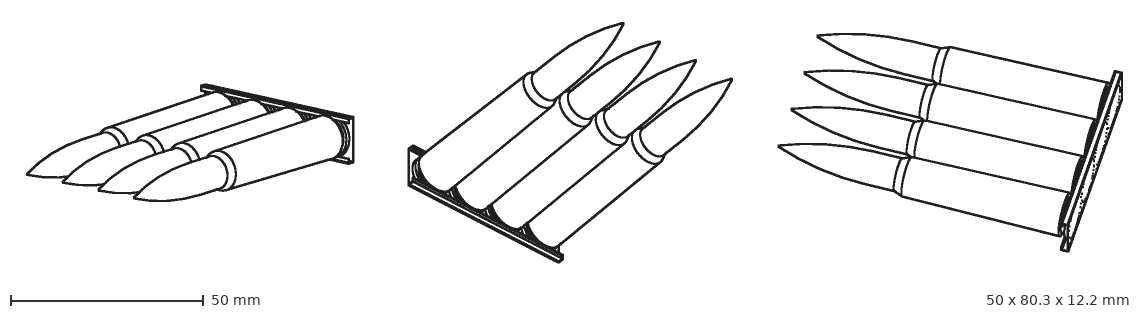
import cadquery as cq
overall_length = 80.3
cartridge_count = 4
cartridge_pitch = 12.05

clip_length = 50.0
clip_height = 12.2
clip_depth = 1.9
clip_wall = 0.25
lip_height = 1.3

rim_diameter = 11.6
rim_thickness = 1.2
groove_diameter = 9.6
groove_end = 2.65
body_start = 3.0
body_base_diameter = 11.65
body_front_diameter = 10.6
body_end = 45.6
neck_start = 47.9
neck_diameter = 8.8
neck_end = 55.9
tip_diameter = 0.4


def make_clip():
    """Channel whose lips reach over the rims of the cartridges."""
    channel = (
        cq.Workplane("XY")
        .box(clip_length, clip_depth, clip_height)
        .translate((0, -clip_depth / 2, 0))
    )
    inner_depth = clip_depth - 2 * clip_wall
    inner_height = clip_height - 2 * clip_wall
    rim_track = (
        cq.Workplane("XY")
        .box(clip_length, inner_depth, inner_height)
        .translate((0, -clip_depth / 2, 0))
    )
    mouth = (
        cq.Workplane("XY")
        .box(clip_length, clip_wall, clip_height - 2 * lip_height)
        .translate((0, -clip_depth + clip_wall / 2, 0))
    )
    return channel.cut(rim_track).cut(mouth)


def make_cartridge(x_center):
    """Half outline revolved about a line along Y, from the rim to the nose.

    The nose is an arc tangent to the straight neck and ends in a small flat tip.
    """
    rim_back = -clip_wall
    rim_front = rim_back - rim_thickness
    outline = (
        cq.Workplane("YZ", origin=(x_center, 0, 0))
        .moveTo(rim_back, 0)
        .lineTo(rim_back, rim_diameter / 2)
        .lineTo(rim_front, rim_diameter / 2)
        .lineTo(rim_front, groove_diameter / 2)
        .lineTo(-groove_end, groove_diameter / 2)
        .lineTo(-body_start, body_base_diameter / 2)
        .lineTo(-body_end, body_front_diameter / 2)
        .lineTo(-neck_start, neck_diameter / 2)
        .lineTo(-neck_end, neck_diameter / 2)
        .tangentArcPoint((-overall_length, tip_diameter / 2), relative=False)
        .lineTo(-overall_length, 0)
        .close()
    )
    return outline.revolve(360, (0, 0, 0), (1, 0, 0))


clip = make_clip()

first_center = -cartridge_pitch * (cartridge_count - 1) / 2
cartridges = []
for index in range(cartridge_count):
    cartridges.append(make_cartridge(first_center + index * cartridge_pitch).val())

result = cq.Compound.makeCompound([clip.val(), *cartridges])